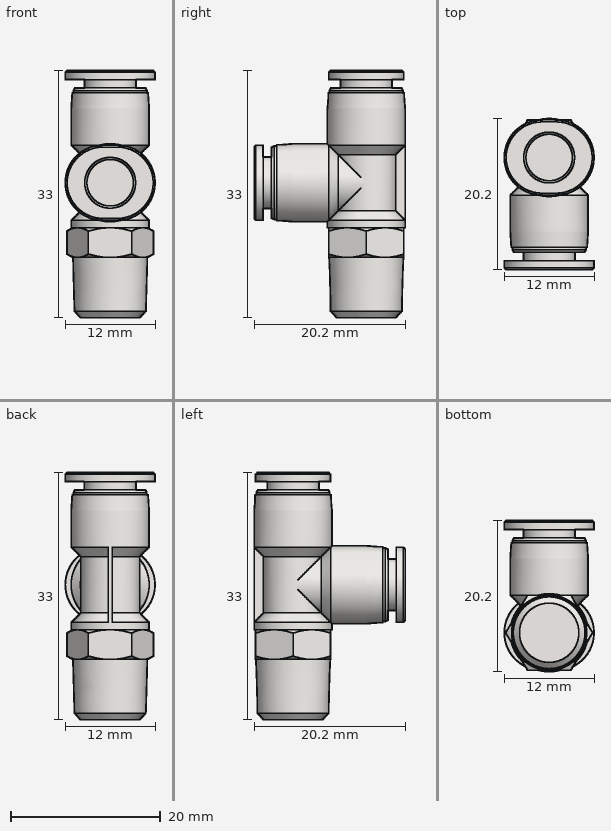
import cadquery as cq
import math

total_height = 33
port_length = 14.98
tee_height = total_height - port_length

body_radius = 5.2
neck_radius = 3.95
body_start = 5.0
cone_length = body_radius - neck_radius
taper_start = 9.9
taper_end = 11.98
taper_end_radius = 5.08
lip_radius = 4.92
lip_chamfer_start = 12.3
lip_chamfer = 0.2
body_end = 12.67

collar_neck_radius = 3.45
collar_thickness = 1.22
collar_end_radius = 5.0
collar_width = 12.0
collar_chamfer = 0.25

bore_radius = 3.1
bore_depth = port_length - body_start
bore_chamfer = 0.3

plug_tip_radius = 3.95
plug_small_radius = 4.8
plug_large_radius = 4.98
plug_chamfer_height = 0.9
hex_bottom = 8.05
hex_top = 12.0
hex_flats = 10.03
hex_corners = hex_flats / math.cos(math.radians(30))
hex_chamfer_angle = 30

rib_thickness = 0.5


def revolved(profile):
    """Revolve (radius, height) points, closed along the axis, about Z."""
    points = [(0, profile[0][1]), *profile, (0, profile[-1][1])]
    return cq.Workplane("XZ").polyline(points).close().revolve(360, (0, 0, 0), (0, 1, 0))


def port_solid():
    """Neck, body and oval collar of one port, along +Z from the tee centre."""
    body = revolved([
        (neck_radius, 0),
        (neck_radius, body_start - cone_length),
        (body_radius, body_start),
        (body_radius, taper_start),
        (taper_end_radius, taper_end),
        (lip_radius, taper_end),
        (lip_radius, lip_chamfer_start),
        (lip_radius - lip_chamfer, body_end),
        (collar_neck_radius, body_end),
        (collar_neck_radius, port_length),
    ])
    collar = (
        cq.Workplane("XY", origin=(0, 0, port_length - collar_thickness))
        .slot2D(collar_width, 2 * collar_end_radius)
        .extrude(collar_thickness)
        .faces(">Z").edges().chamfer(collar_chamfer)
    )
    return body.union(collar)


def port_bore():
    """Blind bore with a chamfered mouth, in the same position as the port."""
    return revolved([
        (bore_radius, port_length - bore_depth),
        (bore_radius, port_length - bore_chamfer),
        (bore_radius + bore_chamfer, port_length),
    ])


def hexagon():
    """Hexagon with corners on X, its corners bevelled at both ends."""
    height = hex_top - hex_bottom
    flat_radius = hex_flats / 2
    corner_radius = hex_corners / 2
    bevel = (corner_radius - flat_radius) * math.tan(math.radians(hex_chamfer_angle))
    prism = cq.Workplane("XY").polygon(6, hex_corners).extrude(height)
    envelope = revolved([
        (flat_radius, 0),
        (corner_radius, bevel),
        (corner_radius, height - bevel),
        (flat_radius, height),
    ])
    return prism.intersect(envelope).translate((0, 0, hex_bottom))


def stem():
    """Tapered plug, round collar above the hexagon and lower half of the neck."""
    plug = revolved([
        (plug_tip_radius, 0),
        (plug_small_radius, plug_chamfer_height),
        (plug_large_radius, hex_bottom),
    ])
    shoulder_height = tee_height - body_start
    neck = revolved([
        (body_radius, hex_top),
        (body_radius, shoulder_height),
        (neck_radius, shoulder_height + cone_length),
        (neck_radius, tee_height),
    ])
    return plug.union(hexagon()).union(neck)


def back_rib():
    """Web on the +Y side joining the upper and lower shoulders."""
    return (
        cq.Workplane("XY", origin=(0, 0, tee_height))
        .box(rib_thickness, body_radius, 2 * body_start, centered=(True, False, True))
        .intersect(cq.Workplane("XY").circle(body_radius).extrude(total_height))
    )


def upright(shape):
    return shape.translate((0, 0, tee_height))


def sideways(shape):
    """Turn a +Z port to face -Y and place it at the tee centre."""
    return upright(shape.rotate((0, 0, 0), (1, 0, 0), 90))


result = stem().union(back_rib())
for place in (upright, sideways):
    result = result.union(place(port_solid()))
for place in (upright, sideways):
    result = result.cut(place(port_bore()))